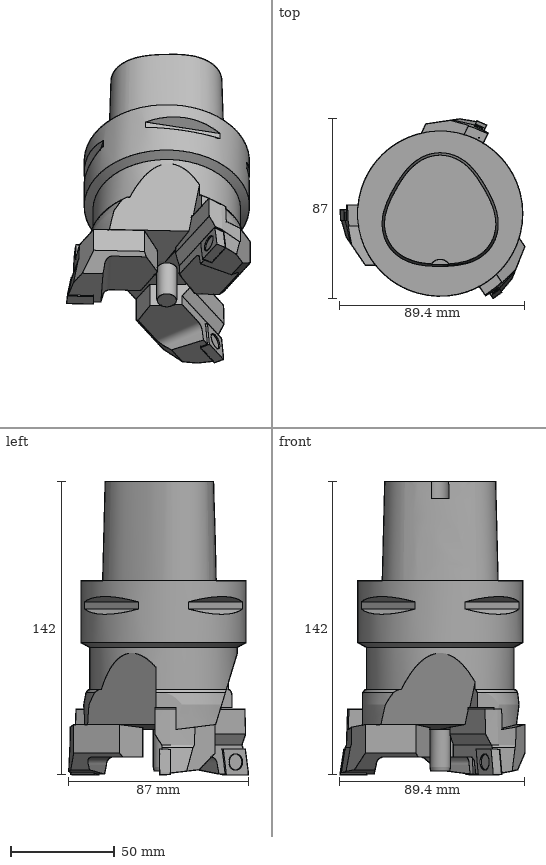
import cadquery as cq
import math

shank_height = 48.0
shank_base_radius = 27.53
shank_taper = 0.025
lobe_height = 1.95
lobe_angle = 90.0
lobe_count = 3
side_half_angle = 38.6
spline_steps = 8
tangent_step = 0.1
key_radius = 5.0
key_center_y = -27.1
key_depth = 8.3

total_height = 142.0
flange_top = total_height - shank_height
flange_bottom = 64.0
flange_radius = 80.0 / 2
neck_top = 61.7
neck_radius = 71.5 / 2
collar_chamfer_top = 41.3
collar_chamfer_inner_radius = 36.4
collar_top = 40.0
collar_top_radius = 37.5
collar_widest_height = 34.0
collar_widest_radius = 38.65
body_bottom_radius = 38.0
body_bottom = 22.0

slot_height = 82.0
slot_floor_distance = 35.5
slot_floor_width = 3.4
slot_wall_angle = 30.0
slot_count = 4
first_slot_angle = 45.0

pin_radius = 10.01 / 2
pin_bottom = 1.9
pin_chamfer_height = 1.9
pin_chamfer_width = 0.4

station_angles = [0.0, -115.5, 124.2]
space = 200.0

flute_low_distance = 25.2
flute_high_distance = neck_radius
flute_low_height = 24.4
flute_high_height = 58.9
wall_y = 3.7
flat_x = -37.58

cassette_top = 31.9
roof_height = 32.6
cassette_front_y = 4.2
band_top = 19.8
band_bottom = 14.4
seat_y = 0.8
step_y = -6.0
step_height = 22.0
back_y = -25.0
back_step_height = 24.4
back_chamfer_height = 10.6
heel_y = -17.2
heel_height = 2.5
front_bottom = 0.4

back_outer_x = -36.2
heel_slant = -0.674
back_inner_x = -11.7
tip = (-5.0, -12.8)
front_inner_x = -14.5
edge_y = -3.3

outer_face_sections = [
    (0, -48.0, -47.9, -10.7),
    (13.4, -46.0, -45.9, -14.3),
    (band_bottom, -45.4, -45.3, -14.9),
    (cassette_top, -44.8, -44.5, -15.6),
]

relief_height = 8.7
relief_radius = 3.8
relief_wall_x = -30.9
relief_foot_x = -32.0

insert_face_y = 1.9
insert_thickness = insert_face_y - edge_y
insert_width = 12.9
insert_height = 12.6
insert_corner_x = -48.4
insert_lean = 1.8
insert_taper = 2.0
insert_land = 1.1
insert_recess_diameter = 7.8
insert_recess_depth = 0.7


def polar(radius, angle):
    return (radius * math.cos(math.radians(angle)), radius * math.sin(math.radians(angle)))


def turned(shape, angle):
    return shape.rotate((0, 0, 0), (0, 0, 1), angle)


def shank_outline(mean_radius, height):
    """Closed outline of three lobes and three flatter sides, each side and lobe one curve."""

    def point(angle):
        rise = lobe_height * math.cos(math.radians(lobe_count * (angle - lobe_angle)))
        return cq.Vector(*polar(mean_radius + rise, angle), height)

    def stretch(start, end):
        points = [point(start + (end - start) * i / spline_steps) for i in range(spline_steps + 1)]
        tangents = [point(angle + tangent_step) - point(angle - tangent_step) for angle in (start, end)]
        return cq.Edge.makeSpline(points, tangents=tangents)

    lobe_pitch = 360 / lobe_count
    edges = []
    for lobe in range(lobe_count):
        side_middle = lobe_angle + (lobe + 0.5) * lobe_pitch
        side_end = side_middle + side_half_angle
        edges.append(stretch(side_middle - side_half_angle, side_end))
        edges.append(stretch(side_end, side_middle + lobe_pitch - side_half_angle))
    return cq.Wire.assembleEdges(edges)


def make_shank():
    top_radius = shank_base_radius - shank_taper * shank_height
    outlines = [shank_outline(shank_base_radius, flange_top), shank_outline(top_radius, total_height)]
    shank = cq.Workplane(obj=cq.Solid.makeLoft(outlines, True))
    key = (
        cq.Workplane("XY", origin=(0, key_center_y, total_height - key_depth))
        .circle(key_radius)
        .extrude(2 * key_depth)
    )
    return shank.cut(key)


def make_turned_blank():
    profile = [
        (0, flange_top),
        (flange_radius, flange_top),
        (flange_radius, flange_bottom),
        (neck_radius, neck_top),
        (neck_radius, collar_chamfer_top),
        (collar_chamfer_inner_radius, collar_chamfer_top),
        (collar_top_radius, collar_top),
        (collar_widest_radius, collar_widest_height),
        (body_bottom_radius, body_bottom),
        (0, body_bottom),
    ]
    return cq.Workplane("XZ").polyline(profile).close().revolve(360, (0, 0), (0, 1))


def make_slot():
    depth = flange_radius - slot_floor_distance
    floor_half = slot_floor_width / 2
    mouth_half = floor_half + depth * math.tan(math.radians(slot_wall_angle))
    profile = [
        (slot_floor_distance, slot_height - floor_half),
        (flange_radius, slot_height - mouth_half),
        (flange_radius, slot_height + mouth_half),
        (slot_floor_distance, slot_height + floor_half),
    ]
    return cq.Workplane("XZ").polyline(profile).close().extrude(flange_radius, both=True)


def before_wall(angle):
    """Everything in front of the upright wall of the station at this angle."""
    block = cq.Workplane("XY").box(space, space, space).translate((0, wall_y + space / 2, 0))
    return turned(block, angle)


def make_flute():
    slope = (flute_high_distance - flute_low_distance) / (flute_high_height - flute_low_height)
    top_distance = flute_low_distance + slope * (neck_top - flute_low_height)
    bottom_distance = flute_low_distance - slope * flute_low_height
    profile = [
        (-bottom_distance, 0),
        (-top_distance, neck_top),
        (-space, neck_top),
        (-space, 0),
    ]
    return cq.Workplane("YZ").polyline(profile).close().extrude(space, both=True)


def step_z(y):
    """Height of the sloping plane on which the body sits on a cassette."""
    return step_height + (back_step_height - step_height) * (step_y - y) / (step_y - back_y)


def make_underside():
    """Everything below the sloping plane of one station."""
    profile = [
        (-space, step_z(-space)),
        (space, step_z(space)),
        (space, -space),
        (-space, -space),
    ]
    return cq.Workplane("YZ").polyline(profile).close().extrude(space, both=True)


def make_cassette_pocket():
    """Room for the raised block of a cassette, with a gap above it."""
    slant = (front_inner_x - tip[0]) / (cassette_front_y - tip[1])
    outline = [
        (-space, cassette_front_y),
        (front_inner_x, cassette_front_y),
        (tip[0] + slant * (step_y - tip[1]), step_y),
        (-space, step_y),
    ]
    return cq.Workplane("XY").polyline(outline).close().extrude(roof_height)


def make_collar_flat():
    flat = cq.Workplane("XY").box(space, 2 * flange_radius, collar_chamfer_top, centered=(False, True, False))
    return flat.translate((flat_x - space, 0, 0))


def make_pin():
    profile = [
        (0, pin_bottom),
        (pin_radius - pin_chamfer_width, pin_bottom),
        (pin_radius, pin_bottom + pin_chamfer_height),
        (pin_radius, back_step_height),
        (0, back_step_height),
    ]
    return cq.Workplane("XZ").polyline(profile).close().revolve(360, (0, 0), (0, 1))


def make_body():
    body = make_turned_blank()
    for i in range(slot_count):
        body = body.cut(turned(make_slot(), first_slot_angle + i * 360 / slot_count))
    for i, angle in enumerate(station_angles):
        below = turned(make_underside().cut(before_wall(0)), angle)
        ahead = before_wall(station_angles[i - 1])
        body = body.cut(below.intersect(ahead))
        body = body.cut(turned(make_flute(), angle).intersect(ahead))
        body = body.cut(turned(make_cassette_pocket(), angle))
        body = body.cut(turned(make_collar_flat(), angle))
    return body.union(make_shank()).union(make_pin())


def cassette_section(height, front_x, edge_x, corner_y):
    corner_x = back_outer_x + heel_slant * (corner_y - back_y)
    outline = [
        (front_x, cassette_front_y),
        (edge_x, edge_y),
        (corner_x, corner_y),
        (back_outer_x, back_y),
        (back_inner_x, back_y),
        tip,
        (front_inner_x, cassette_front_y),
    ]
    return cq.Wire.makePolygon([cq.Vector(x, y, height) for x, y in outline], close=True)


def make_insert():
    """A leaning four-sided insert that narrows toward its back."""
    outline = [
        (insert_corner_x, 0),
        (insert_corner_x + insert_width, 0),
        (insert_corner_x + insert_width + insert_lean, insert_height),
        (insert_corner_x + insert_lean, insert_height),
        (insert_corner_x, insert_land),
    ]
    blank = cq.Workplane("XZ", origin=(0, insert_face_y, 0)).polyline(outline).close()
    return blank.extrude(insert_thickness, taper=insert_taper)


def make_insert_recess():
    center_x = insert_corner_x + (insert_width + insert_lean) / 2
    recess = cq.Workplane("XZ", origin=(center_x, insert_face_y, insert_height / 2))
    return recess.circle(insert_recess_diameter / 2).extrude(insert_recess_depth)


def make_cassette():
    sections = [cassette_section(*section) for section in outer_face_sections]
    blank = cq.Workplane(obj=cq.Solid.makeLoft(sections, True))
    side = [
        (cassette_front_y, cassette_top),
        (cassette_front_y, band_top),
        (seat_y, band_bottom),
        (seat_y, front_bottom),
        (heel_y, heel_height),
        (back_y, back_chamfer_height),
        (back_y, back_step_height),
        (step_y, step_height),
        (step_y, cassette_top),
    ]
    cassette = blank.intersect(cq.Workplane("YZ").polyline(side).close().extrude(-space))
    relief = (
        cq.Workplane("XZ", origin=(0, space / 2, 0))
        .moveTo(relief_foot_x, 0)
        .lineTo(relief_wall_x, relief_height - relief_radius)
        .radiusArc((relief_wall_x + relief_radius, relief_height), relief_radius)
        .lineTo(0, relief_height)
        .lineTo(0, 0)
        .close()
        .extrude(space)
    )
    return cassette.cut(relief)


body = make_body()
plain_insert = make_insert()
insert = plain_insert.cut(make_insert_recess())
cassette = make_cassette().cut(plain_insert)

cassettes = [turned(cassette, angle).solids().val() for angle in station_angles]
inserts = [turned(insert, angle).solids().val() for angle in station_angles]
result = cq.Compound.makeCompound([body.solids().val(), *cassettes, *inserts])